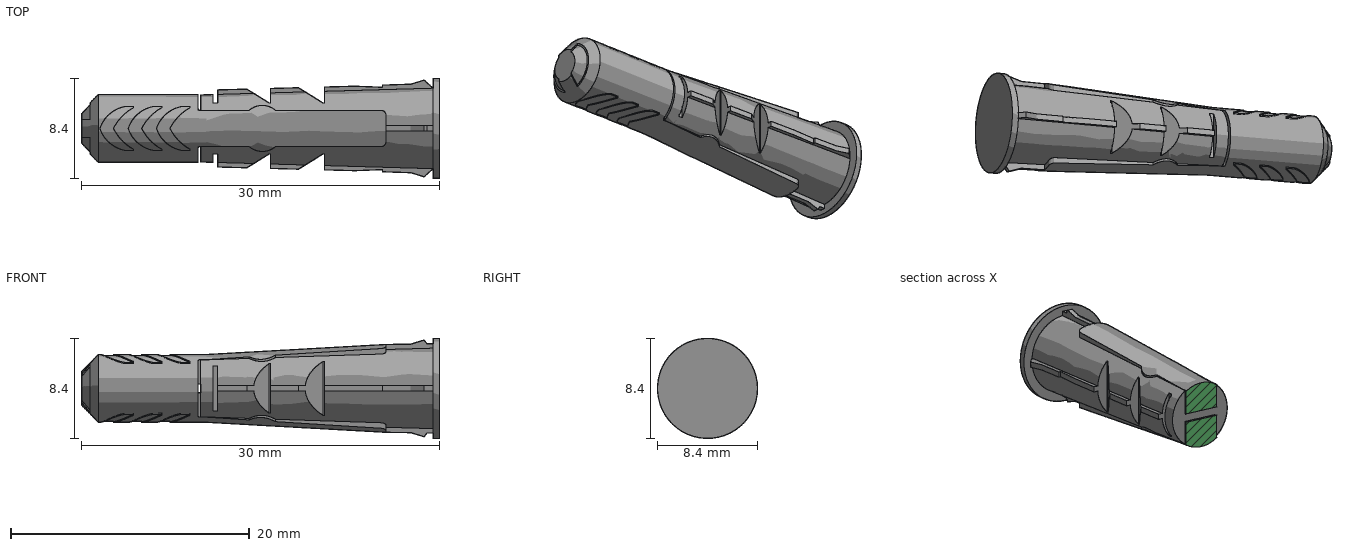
import cadquery as cq


LENGTH = 30.0
FLANGE_RADIUS = 4.2
FLANGE_THICKNESS = 0.55
FLANGE_X = LENGTH - FLANGE_THICKNESS
SHANK_RADIUS = 2.85
SPAN = 3 * FLANGE_RADIUS

TIP_RADIUS = 1.41
TIP_LENGTH = 1.4
RELIEF_LENGTH = 0.72
RELIEF_START_RADIUS = 1.24
RELIEF_END_RADIUS = 1.99
TIP_BAR_HALF_WIDTH = 0.77

CHEVRON_COUNT = 3
CHEVRON_START_X = 1.54
CHEVRON_PITCH = 2.37
CHEVRON_DEPTH = 0.08
CHEVRON_TAIL_X = 2.82
CHEVRON_TAIL_Y = 1.83
CHEVRON_TAIL_FLAT = 0.76
CHEVRON_OUTER_MID = (0.9, 1.29)
CHEVRON_INNER_TIP_X = 1.13
CHEVRON_INNER_MID = (1.84, 1.0)
CHEVRON_TAIL_INNER_Y = 1.75

SLIT_X = 9.77
SLIT_WIDTH = 0.2
SLIT_WINDOW_HEIGHT = 0.7
SLIT_CORNER_RADIUS = 0.15
BODY_X = SLIT_X + SLIT_WIDTH

BODY_START_RADIUS = 2.82
BODY_END_RADIUS = 3.38

TONGUE_HALF_WIDTH = 1.52
TONGUE_TAPER_X = 10.5
TONGUE_END_X = 25.5
TONGUE_END_RADIUS = 3.69
TONGUE_CORNER_RADIUS = 0.4
BULGE_X = 15.15
BULGE_HALF_LENGTH = 1.1
BULGE_HALF_WIDTH = 1.93

CUT_FLOOR = 2.15
SLOT_X = 11.03
SLOT_WIDTH = 0.37
NOTCH_WALLS_X = (15.83, 20.34)
NOTCH_FLAT = 0.12
NOTCH_SLOPE = 0.62

RIB_WIDTH = 0.46
RIB_START_X = SLOT_X + SLOT_WIDTH
RIB_START_RADIUS = 3.24
RIB_CREST_X = 22.9
RIB_CREST_RADIUS = 3.55
RIB_STEP_X = 25.2
RIB_STEP_LOW_RADIUS = 3.46
RIB_STEP_HIGH_RADIUS = 3.64
RIB_KICK_X = 27.6
RIB_KICK_RADIUS = 3.72
RIB_PEAK_X = 28.7
RIB_PEAK_RADIUS = 4.06
RIB_TAIL_X = 28.95
RIB_TAIL_RADIUS = 3.75


def turn(points):
    """Revolve an (x, radius) outline, closed along the axis, about X."""
    return cq.Workplane("XY").polyline(points).close().revolve(360, (0, 0, 0), (1, 0, 0))


def both_sides_y(solid):
    """Join a solid with its mirror image on the other Y side."""
    return solid.union(solid.mirror("XZ"))


def both_sides_z(solid):
    """Join a solid with its mirror image on the other Z side."""
    return solid.union(solid.mirror("XY"))


def plate(outline, thickness=SPAN):
    """Extrude a closed outline equally to both sides of its own plane."""
    return outline.extrude(thickness / 2, both=True)


def make_blank():
    """Solid of revolution: tip cone, shank, tapered body and flange."""
    return turn([
        (0, 0),
        (0, TIP_RADIUS),
        (TIP_LENGTH, SHANK_RADIUS),
        (BODY_X, SHANK_RADIUS),
        (BODY_X, BODY_START_RADIUS),
        (FLANGE_X, BODY_END_RADIUS),
        (FLANGE_X, FLANGE_RADIUS),
        (LENGTH, FLANGE_RADIUS),
        (LENGTH, 0),
    ])


def make_tip_relief():
    """Stepped-back cones either side of the bar that crosses the tip."""
    ring = turn([
        (0, RELIEF_START_RADIUS),
        (0, SHANK_RADIUS),
        (RELIEF_LENGTH, SHANK_RADIUS),
        (RELIEF_LENGTH, RELIEF_END_RADIUS),
    ])
    return ring.cut(cq.Workplane("XY").box(LENGTH, 2 * TIP_BAR_HALF_WIDTH, SPAN))


def make_chevrons():
    """Shallow swept-back crescents on the top and bottom of the shank."""
    shell = turn([
        (TIP_LENGTH, SHANK_RADIUS - CHEVRON_DEPTH),
        (TIP_LENGTH, SHANK_RADIUS + CHEVRON_DEPTH),
        (SLIT_X, SHANK_RADIUS + CHEVRON_DEPTH),
        (SLIT_X, SHANK_RADIUS - CHEVRON_DEPTH),
    ])
    half_crescent = plate(
        cq.Workplane("XY")
        .moveTo(0, 0)
        .threePointArc(CHEVRON_OUTER_MID, (CHEVRON_TAIL_X - CHEVRON_TAIL_FLAT, CHEVRON_TAIL_Y))
        .lineTo(CHEVRON_TAIL_X, CHEVRON_TAIL_Y)
        .lineTo(CHEVRON_TAIL_X, CHEVRON_TAIL_INNER_Y)
        .threePointArc(CHEVRON_INNER_MID, (CHEVRON_INNER_TIP_X, 0))
        .close()
    )
    crescent = both_sides_y(half_crescent)
    grooves = cq.Workplane("XY")
    for index in range(CHEVRON_COUNT):
        start_x = CHEVRON_START_X + index * CHEVRON_PITCH
        grooves = grooves.union(crescent.translate((start_x, 0, 0)).intersect(shell))
    return grooves


def make_tongues():
    """Tapered pads with rounded ends and a bulge on each long edge."""
    cone = turn([
        (BODY_X, 0),
        (BODY_X, SHANK_RADIUS),
        (TONGUE_TAPER_X, SHANK_RADIUS),
        (TONGUE_END_X, TONGUE_END_RADIUS),
        (TONGUE_END_X, 0),
    ])
    strip = plate(
        cq.Workplane("XY")
        .moveTo(BODY_X, -TONGUE_HALF_WIDTH)
        .lineTo(TONGUE_END_X, -TONGUE_HALF_WIDTH)
        .lineTo(TONGUE_END_X, TONGUE_HALF_WIDTH)
        .lineTo(BODY_X, TONGUE_HALF_WIDTH)
        .close()
    )
    strip = strip.edges("|Z and >X").fillet(TONGUE_CORNER_RADIUS)
    bulge = plate(
        cq.Workplane("XY")
        .moveTo(BULGE_X - BULGE_HALF_LENGTH, -TONGUE_HALF_WIDTH)
        .threePointArc(
            (BULGE_X, -BULGE_HALF_WIDTH),
            (BULGE_X + BULGE_HALF_LENGTH, -TONGUE_HALF_WIDTH),
        )
        .lineTo(BULGE_X + BULGE_HALF_LENGTH, TONGUE_HALF_WIDTH)
        .threePointArc(
            (BULGE_X, BULGE_HALF_WIDTH),
            (BULGE_X - BULGE_HALF_LENGTH, TONGUE_HALF_WIDTH),
        )
        .close()
    )
    return cone.intersect(strip.union(bulge))


def make_side_ribs():
    """Long ribs on the +Y and -Y sides, ending in a barb at the flange."""
    outline = cq.Workplane("XY").polyline([
        (RIB_START_X, 0),
        (RIB_START_X, RIB_START_RADIUS),
        (RIB_CREST_X, RIB_CREST_RADIUS),
        (RIB_STEP_X, RIB_STEP_LOW_RADIUS),
        (RIB_STEP_X, RIB_STEP_HIGH_RADIUS),
        (RIB_KICK_X, RIB_KICK_RADIUS),
        (RIB_PEAK_X, RIB_PEAK_RADIUS),
        (FLANGE_X, BODY_END_RADIUS),
        (FLANGE_X, 0),
    ]).close()
    return both_sides_y(plate(outline, RIB_WIDTH))


def make_end_ribs():
    """Short ribs behind the tongues on the +Z and -Z sides."""
    outline = cq.Workplane("XZ").polyline([
        (TONGUE_END_X, 0),
        (TONGUE_END_X, TONGUE_END_RADIUS),
        (RIB_KICK_X, RIB_KICK_RADIUS),
        (RIB_PEAK_X, RIB_PEAK_RADIUS),
        (RIB_TAIL_X, RIB_TAIL_RADIUS),
        (FLANGE_X, RIB_TAIL_RADIUS),
        (FLANGE_X, 0),
    ]).close()
    return both_sides_z(plate(outline, RIB_WIDTH))


def make_slits():
    """Thin cross slits beside the tongues, joined by a small central window."""
    depth = FLANGE_RADIUS - TONGUE_HALF_WIDTH
    side = cq.Workplane("XY").box(SLIT_WIDTH, depth, SPAN, centered=(False, False, True))
    side = side.translate((SLIT_X, TONGUE_HALF_WIDTH, 0))
    side = side.edges("|Z and <X and <Y").fillet(SLIT_CORNER_RADIUS)
    window = cq.Workplane("XY").box(SLIT_WIDTH, SPAN, SLIT_WINDOW_HEIGHT, centered=(False, True, True))
    return both_sides_y(side).union(window.translate((SLIT_X, 0, 0)))


def make_slots():
    """Square cross slots in the wings, just in front of the side ribs."""
    side = cq.Workplane("XY").box(SLOT_WIDTH, SPAN, SPAN, centered=(False, False, True))
    return both_sides_y(side.translate((SLOT_X, CUT_FLOOR, 0)))


def make_notches():
    """Saw-tooth cuts: a ramp, a narrow flat and a wall square to the axis."""
    rise = FLANGE_RADIUS - CUT_FLOOR
    notches = cq.Workplane("XY")
    for wall_x in NOTCH_WALLS_X:
        ramp_end_x = wall_x - NOTCH_FLAT
        outline = cq.Workplane("XY").polyline([
            (wall_x, CUT_FLOOR),
            (wall_x, FLANGE_RADIUS),
            (ramp_end_x - rise / NOTCH_SLOPE, FLANGE_RADIUS),
            (ramp_end_x, CUT_FLOOR),
        ]).close()
        notches = notches.union(both_sides_y(plate(outline)))
    return notches


plug = make_blank().cut(make_tip_relief()).cut(make_chevrons())
plug = plug.union(make_tongues()).union(make_side_ribs()).union(make_end_ribs())
result = plug.cut(make_slits()).cut(make_slots()).cut(make_notches())